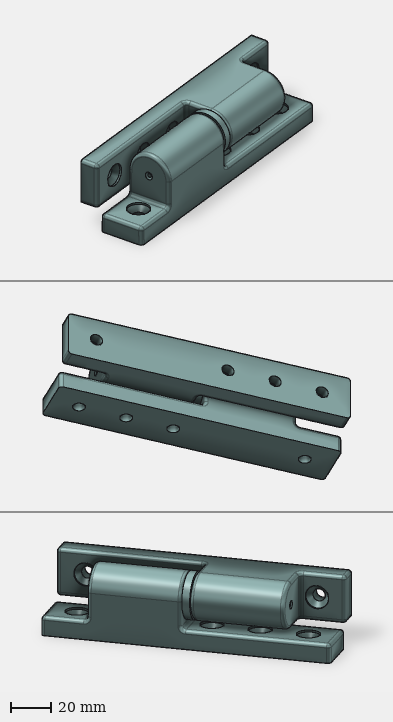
import cadquery as cq
import math

hinge_length = 150.0
hinge_reach = 37.0

plate_thickness = 10.0
plate_width = 25.0
edge_radius = 2.0

knuckle_radius = 12.3
axis_offset = hinge_reach - plate_width / 2
washer_thickness = 4.0
knuckle_inner_end = washer_thickness / 2
knuckle_outer_end = 51.0
knuckle_length = knuckle_outer_end - knuckle_inner_end

washer_radius = knuckle_radius

pin_radius = 2.1
recess_floor_radius = 1.0
recess_depth = 0.6

hole_diameter = 6.3
countersink_diameter = 12.0
countersink_angle = 90.0
countersink_inset = 1.0
end_hole_distance = 60.0
hole_pitch = 25.0
hole_positions = (
    end_hole_distance,
    -end_hole_distance,
    -end_hole_distance + hole_pitch,
    -end_hole_distance + 2 * hole_pitch,
)


def along_axis(radius, y_start, y_end):
    """Cylinder about the pivot axis from y_start to y_end."""
    return (
        cq.Workplane("XZ", origin=(axis_offset, y_start, axis_offset))
        .circle(radius)
        .extrude(y_start - y_end)
    )


def make_leaf_blank():
    """Sharp-edged plate on X = 0, with its knuckle on the +Y side of mid-length."""
    half_width = plate_width / 2
    side_lean = math.atan2(half_width, axis_offset) - math.asin(
        knuckle_radius / math.hypot(half_width, axis_offset)
    )
    tangent_x = axis_offset + knuckle_radius * math.sin(side_lean)
    tangent_half_width = knuckle_radius * math.cos(side_lean)
    full_bar = (
        cq.Workplane("XZ", origin=(0, hinge_length / 2, axis_offset))
        .moveTo(0, -half_width)
        .lineTo(tangent_x, -tangent_half_width)
        .threePointArc((axis_offset + knuckle_radius, 0), (tangent_x, tangent_half_width))
        .lineTo(0, half_width)
        .close()
        .extrude(hinge_length)
    )
    plate_room = cq.Workplane("XY").box(
        plate_thickness, hinge_length, hinge_reach, centered=(False, True, False)
    )
    knuckle_room = cq.Workplane("XY", origin=(0, knuckle_inner_end, 0)).box(
        hinge_reach, knuckle_length, hinge_reach, centered=False
    )
    return full_bar.intersect(plate_room.union(knuckle_room))


def round_edges(leaf):
    """Round the knuckle roots, then every sharp edge off the mounting face."""
    knuckle_ends = leaf.faces("|Y").faces("not (<Y or >Y)")
    leaf = knuckle_ends.edges("|Z and <X").fillet(edge_radius)
    plate_end_corners = leaf.faces("<Y or >Y").edges("|Z and >X")
    side_edges = leaf.faces("|Y").edges("not |Z")
    return side_edges.add(plate_end_corners).fillet(edge_radius)


def drill_fixing_holes(leaf):
    """Holes through the plate, countersunk below the face opposite the mounting face."""
    hole_centres = [(y, 0) for y in hole_positions]
    cone_top = plate_thickness - countersink_inset
    return (
        leaf.copyWorkplane(cq.Workplane("YZ", origin=(cone_top, 0, axis_offset)))
        .pushPoints(hole_centres)
        .cskHole(hole_diameter, countersink_diameter, countersink_angle)
        .copyWorkplane(cq.Workplane("YZ", origin=(plate_thickness, 0, axis_offset)))
        .pushPoints(hole_centres)
        .hole(countersink_diameter, countersink_inset)
    )


def make_leaf():
    """Finished leaf, mounted on X = 0."""
    leaf = drill_fixing_holes(round_edges(make_leaf_blank()))
    pin_bore = along_axis(pin_radius, knuckle_inner_end, knuckle_outer_end)
    return leaf.cut(pin_bore)


def make_washer():
    """Plain ring that fills the gap between the two knuckles."""
    ring = along_axis(washer_radius, -knuckle_inner_end, knuckle_inner_end)
    pin_bore = along_axis(pin_radius, -knuckle_inner_end, knuckle_inner_end)
    return ring.cut(pin_bore)


def make_pin():
    """Pin revolved about the pivot axis, with its end recesses in the profile."""
    floor = knuckle_outer_end - recess_depth
    half_section = [
        (0, -floor),
        (recess_floor_radius, -floor),
        (pin_radius, -knuckle_outer_end),
        (pin_radius, knuckle_outer_end),
        (recess_floor_radius, floor),
        (0, floor),
    ]
    return (
        cq.Workplane("XY", origin=(axis_offset, 0, axis_offset))
        .polyline(half_section)
        .close()
        .revolve(360, (0, 0, 0), (0, 1, 0))
    )


diagonal = (1, 0, 1)
leaf = make_leaf()
leaves = [leaf.rotate((0, 0, 0), diagonal, turn) for turn in (0, 180)]
washer = make_washer()
pin = make_pin()

result = cq.Compound.makeCompound([*[item.val() for item in leaves], washer.val(), pin.val()])